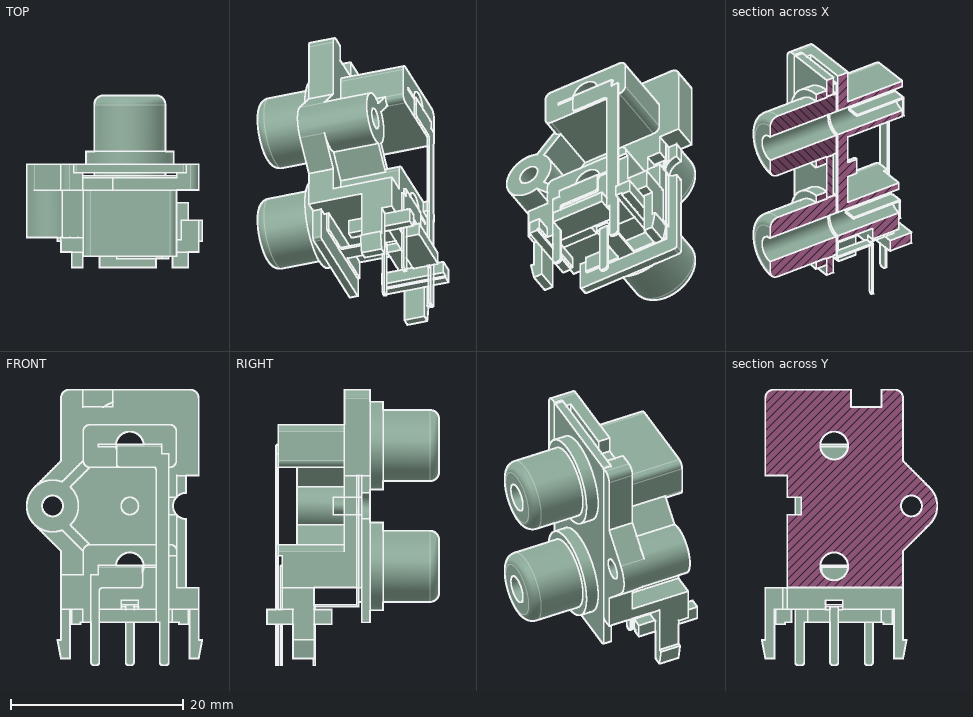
import cadquery as cq
import math


top_z = 27.0
mid_z = 13.5
jack_offset = 7.0
upper_jack_z = mid_z + jack_offset
lower_jack_z = mid_z - jack_offset
base_z = 1.5
body_bottom_z = 4.03
pin_tip_z = -5.0

shell_diameter = 8.3
shell_front_y = 8.0
shell_tip_radius = 1.1
ring_diameter = 10.2
ring_length = 1.5
bore_diameter = 3.2

plate_half_width = 6.53
plate_thickness = 1.0
plate_corner_radius = 0.32
finger_notch_radius = 1.5

sheet = 0.25
ground_gap = 0.32
ground_half_width = 5.4
ground_back_y = -plate_thickness - ground_gap - sheet
ground_bend_z = 1.8
ground_tab_width = 2.0
ground_pin_width = 1.0
ground_pin_back_y = -6.62
bend_radius = 0.22
pin_tip_radius = 0.4

wall_half_width = 8.0
wall_thickness = 3.0
wall_corner_radius = 1.0
core_right_x = 5.47
wing_bottom_z = 17.02
chamber_half_width = 5.45
key_notch_left_x = -5.47
key_notch_right_x = -1.95
key_notch_bottom_z = 25.0
side_slot_left_x = 3.85
side_slot_height = 2.0

boss_x = -8.95
boss_diameter = 6.0
boss_hole_diameter = 2.4
boss_back_y = -8.5
rib_thickness = 1.1
rib_rise = 0.15
post_diameter = 2.0
post_length = 1.28

block_half_width = 5.4
block_height = 4.95
block_gap_half = 4.48
block_radius = 0.8
upper_block_back_y = -10.7
lower_block_back_y = -10.2
pad_left_x = 3.05
pad_height = 1.3

left_ledge_z = 5.55
leg_front_y = -6.5
leg_back_y = -8.95
leg_width = 1.1
leg_bottom_z = -4.2
hook_top_z = -2.0
hook_depth = 0.4
ledge_notch_right_x = 6.0
ledge_notch_back_y = -8.77
foot_front_y = -4.45
foot_back_y = -12.0
standoff_bottom_z = -0.22
standoff_inner_x = 5.7
left_foot_x = (-6.75, -5.45)
right_foot_x = (4.93, 6.8)
rail_x = (-3.52, 3.05)
ground_notch_height = 1.05

blade_half_width = 3.68
blade_depth = 6.4
blade_top_rise = 0.13
flag_drop = 2.5
shoulder_drop = 0.95
flag_radius = 0.32
upper_flag_x = (-1.55, 4.55)
lower_flag_x = (-4.5, 1.47)
upper_stem_width = 1.5
upper_pin_width = 1.1
lower_pin_width = 1.0


def box(x_range, y_range, z_range):
    """Box between two limits along each axis."""
    size = [abs(r[1] - r[0]) for r in (x_range, y_range, z_range)]
    low = [min(r) for r in (x_range, y_range, z_range)]
    return cq.Workplane("XY").box(*size, centered=False).translate(tuple(low))


def prism(points, front_y, back_y):
    """Outline of (x, z) points extruded from front_y back to back_y."""
    return cq.Workplane("XZ", origin=(0, front_y, 0)).polyline(points).close().extrude(front_y - back_y)


def rod(x, z, diameter, front_y, back_y):
    """Round bar along Y."""
    return cq.Workplane("XZ", origin=(x, front_y, z)).circle(diameter / 2).extrude(front_y - back_y)


def bores():
    """Both contact bores, running the full depth."""
    upper = rod(0, upper_jack_z, bore_diameter, shell_front_y, upper_block_back_y)
    lower = rod(0, lower_jack_z, bore_diameter, shell_front_y, upper_block_back_y)
    return upper.union(lower)


def finger_notch():
    """Half-round notch in the right edge of the front plate and ground terminal."""
    return rod(plate_half_width, mid_z, 2 * finger_notch_radius, 0, ground_back_y)



def rear_wall():
    """Wall with a cut-back right side and 45 degree flanks running tangent to the boss."""
    tangent_rise = boss_diameter / 2 * math.sqrt(0.5)
    tangent_x = boss_x - tangent_rise
    flank = 2 * tangent_rise - boss_x - wall_half_width
    outline = [
        (-wall_half_width, top_z),
        (wall_half_width, top_z),
        (wall_half_width, wing_bottom_z),
        (core_right_x, wing_bottom_z),
        (core_right_x, body_bottom_z),
        (-wall_half_width, body_bottom_z),
        (-wall_half_width, mid_z - flank),
        (tangent_x, mid_z - tangent_rise),
        (tangent_x, mid_z + tangent_rise),
        (-wall_half_width, mid_z + flank),
    ]
    wall = prism(outline, 0, -wall_thickness)
    return wall.edges("|Y and >Z").fillet(wall_corner_radius)


def boss_ribs():
    """Two 45 degree ribs fanning out from the boss to the contact blocks."""
    rib_height = rib_thickness * math.sqrt(2)
    end_x = boss_x + block_gap_half - rib_rise
    ribs = cq.Workplane("XY")
    for side in (1, -1):
        outline = [
            (boss_x, mid_z + side * rib_rise),
            (end_x, mid_z + side * block_gap_half),
            (end_x, mid_z + side * (block_gap_half + rib_height)),
            (boss_x, mid_z + side * (rib_rise + rib_height)),
        ]
        ribs = ribs.union(prism(outline, -wall_thickness, boss_back_y))
    return ribs


def upper_block():
    bottom = mid_z + block_gap_half
    block_x = (-block_half_width, block_half_width)
    block = box(block_x, (-wall_thickness, upper_block_back_y), (bottom, bottom + block_height))
    return block.edges("|Y").fillet(block_radius)


def lower_block():
    """Lower contact block with the pad that backs the long upper terminal."""
    top = mid_z - block_gap_half
    block_y = (-wall_thickness, lower_block_back_y)
    block = box((-block_half_width, core_right_x), block_y, (body_bottom_z, top))
    pad = box((pad_left_x, core_right_x), (lower_block_back_y, upper_block_back_y), (top - pad_height, top))
    return block.union(pad).edges("|Y and >Z and (<X or >X)").fillet(block_radius)


def base():
    """Side ledges and the rear skirt below the lower block."""
    ledge = box((-wall_half_width, -block_half_width), (0, lower_block_back_y), (body_bottom_z, left_ledge_z))
    skirt_z = (base_z, body_bottom_z)
    skirt = box((-wall_half_width, wall_half_width), (leg_front_y, lower_block_back_y), skirt_z)
    ledge_notch = box((core_right_x, ledge_notch_right_x), (leg_front_y, ledge_notch_back_y), skirt_z)
    return ledge.union(skirt.cut(ledge_notch))


def snap_leg(side):
    outer = side * wall_half_width
    outline = [
        (outer, base_z),
        (outer, hook_top_z),
        (outer + side * hook_depth, hook_top_z),
        (outer, leg_bottom_z),
        (outer - side * leg_width, leg_bottom_z),
        (outer - side * leg_width, base_z),
    ]
    return prism(outline, leg_front_y, leg_back_y)


def feet():
    """Two seat bars, each with a shallow standoff strip along its outer side."""
    left_foot = box(left_foot_x, (foot_front_y, foot_back_y), (0, base_z))
    right_foot = box(right_foot_x, (foot_front_y, foot_back_y), (0, base_z))
    feet_pair = left_foot.union(right_foot)
    for outer_x, side in ((min(left_foot_x), -1), (max(right_foot_x), 1)):
        strip_x = (side * standoff_inner_x, outer_x)
        feet_pair = feet_pair.union(box(strip_x, (foot_front_y, foot_back_y), (standoff_bottom_z, 0)))
    return feet_pair


def rear_rail():
    """Rear seat rail with a web joining it to the left foot."""
    rail = box(rail_x, (leg_back_y, foot_back_y), (0, base_z))
    web = box((max(left_foot_x), min(rail_x)), (leg_back_y, lower_block_back_y), (0, base_z))
    return rail.union(web)


def blade_slot(jack_z, back_y):
    """Slot in a block's back face that takes a terminal blade."""
    top = jack_z + blade_top_rise
    return box((-blade_half_width, blade_half_width), (back_y + blade_depth, back_y), (top - sheet, top))


def make_housing():
    body = rear_wall().union(rod(boss_x, mid_z, boss_diameter, 0, boss_back_y)).union(boss_ribs())
    body = body.union(rod(0, mid_z, post_diameter, -wall_thickness, -wall_thickness - post_length))
    body = body.union(upper_block()).union(lower_block()).union(base())
    for side in (-1, 1):
        body = body.union(snap_leg(side))
    body = body.union(feet()).union(rear_rail())

    body = body.cut(box((-plate_half_width, plate_half_width), (0, -plate_thickness), (0, top_z)))
    body = body.cut(box((-chamber_half_width, chamber_half_width), (0, ground_back_y), (0, top_z)))
    key_notch_x = (key_notch_left_x, key_notch_right_x)
    body = body.cut(box(key_notch_x, (ground_back_y, -wall_thickness), (key_notch_bottom_z, top_z)))

    body = body.cut(rod(boss_x, mid_z, boss_hole_diameter, 0, boss_back_y)).cut(bores())
    side_slot_z = (mid_z - side_slot_height / 2, mid_z + side_slot_height / 2)
    body = body.cut(box((side_slot_left_x, core_right_x), (0, -wall_thickness), side_slot_z))
    body = body.cut(blade_slot(upper_jack_z, upper_block_back_y))
    body = body.cut(blade_slot(lower_jack_z, lower_block_back_y))

    notch_x = (-ground_tab_width / 2, ground_tab_width / 2)
    notch_z = (base_z, base_z + ground_notch_height)
    return body.cut(box(notch_x, (leg_front_y, lower_block_back_y), notch_z))



def make_front_plate():
    plate = box((-plate_half_width, plate_half_width), (0, -plate_thickness), (0, top_z))
    plate = plate.edges("|Y").fillet(plate_corner_radius).cut(finger_notch())
    for jack_z in (upper_jack_z, lower_jack_z):
        plate = plate.cut(rod(0, jack_z, shell_diameter, 0, -plate_thickness))
    return plate



def make_shell(jack_z):
    back_y = -plate_thickness - ground_gap
    shell = rod(0, jack_z, shell_diameter, shell_front_y, back_y)
    return shell.faces(">Y").edges().fillet(shell_tip_radius).cut(bores())


def make_ring(jack_z):
    ring = rod(0, jack_z, ring_diameter, ring_length, 0)
    return ring.cut(rod(0, jack_z, shell_diameter, ring_length, 0))



def round_tip(pin):
    return pin.edges("|Y and <Z").fillet(pin_tip_radius)


def make_ground_terminal():
    """Arched contact sheet, a tab bent back under the housing and a centre pin."""
    front_y = ground_back_y + sheet
    sheet_x = (-ground_half_width, ground_half_width)
    arch = rod(0, upper_jack_z, 2 * ground_half_width, front_y, ground_back_y)
    sheet_part = box(sheet_x, (front_y, ground_back_y), (ground_bend_z, upper_jack_z))
    sheet_part = sheet_part.union(arch).cut(bores()).cut(finger_notch())

    tab_half = ground_tab_width / 2
    tab_top_z = ground_bend_z + sheet
    pin_front_y = ground_pin_back_y + sheet
    tab = box((-tab_half, tab_half), (front_y, pin_front_y), (ground_bend_z, tab_top_z))
    tab = tab.edges("|X and >Y and <Z").fillet(bend_radius)
    pin_half = ground_pin_width / 2
    pin = box((-pin_half, pin_half), (pin_front_y, ground_pin_back_y), (pin_tip_z, tab_top_z))
    pin = round_tip(pin).edges("|X and <Y and >Z").fillet(bend_radius)
    return sheet_part.union(tab).union(pin)


def make_signal_terminal(jack_z, front_y, flag_x, stem_side, stem_width, pin_width):
    """Blade in the block, bent down into a flag with a stem and pin at one end (stem_side)."""
    top = jack_z + blade_top_rise
    back_y = front_y - sheet
    flag_bottom = jack_z - flag_drop
    shoulder_z = jack_z - shoulder_drop
    outer_x = max(flag_x) if stem_side > 0 else min(flag_x)
    far_x = min(flag_x) if stem_side > 0 else max(flag_x)
    stem_x = outer_x - stem_side * stem_width
    shoulder_x = stem_side * blade_half_width

    flag = box((far_x, shoulder_x), (front_y, back_y), (flag_bottom, top))
    flag = flag.edges("|Y and <Z").edges("<X" if stem_side > 0 else ">X").fillet(flag_radius)
    stem = box((stem_x, outer_x), (front_y, back_y), (0, shoulder_z))
    face = flag.union(stem)
    inner_corner = cq.selectors.NearestToPointSelector((stem_x, (front_y + back_y) / 2, flag_bottom))
    face = face.edges("|Y").edges(inner_corner).fillet(flag_radius)

    blade = box((-blade_half_width, blade_half_width), (front_y + blade_depth, front_y), (top - sheet, top))
    bend = box((far_x, shoulder_x), (front_y, back_y), (top - sheet, top))
    pin = round_tip(box((outer_x - stem_side * pin_width, outer_x), (front_y, back_y), (pin_tip_z, 0)))
    terminal = face.union(bend).union(blade).union(pin)
    return terminal.edges("|X and >Z and <Y").fillet(bend_radius)


housing = make_housing()
front_plate = make_front_plate()
ground_terminal = make_ground_terminal()
upper_terminal = make_signal_terminal(
    upper_jack_z, upper_block_back_y, upper_flag_x, 1, upper_stem_width, upper_pin_width
)
lower_terminal = make_signal_terminal(
    lower_jack_z, lower_block_back_y, lower_flag_x, -1, lower_pin_width, lower_pin_width
)
jack_heights = (upper_jack_z, lower_jack_z)
shells = [make_shell(jack_z) for jack_z in jack_heights]
rings = [make_ring(jack_z) for jack_z in jack_heights]

result = cq.Compound.makeCompound([
    housing.val(),
    front_plate.val(),
    ground_terminal.val(),
    upper_terminal.val(),
    lower_terminal.val(),
    *[shell.val() for shell in shells],
    *[ring.val() for ring in rings],
])